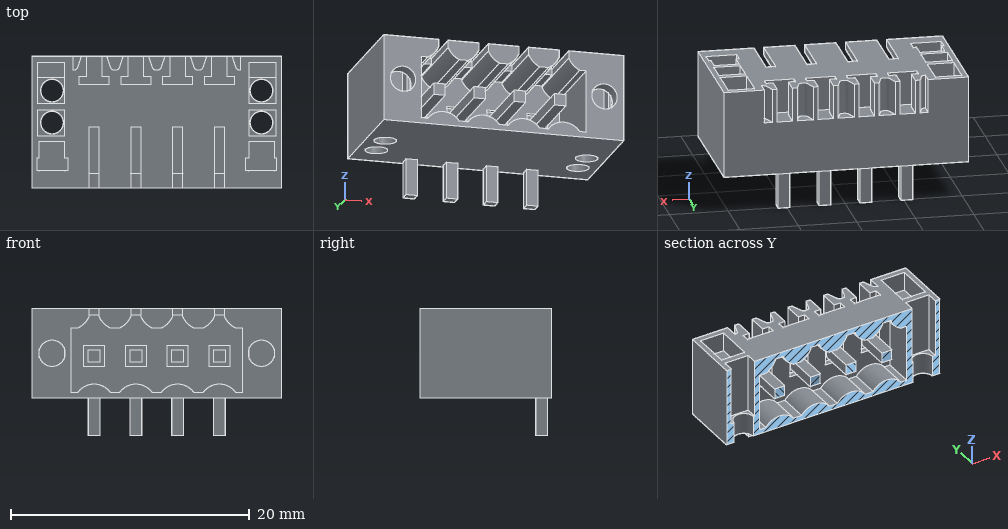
import cadquery as cq


contact_count = 4
pitch = 3.5
contact_x = [(i - (contact_count - 1) / 2) * pitch for i in range(contact_count)]

length = 20.9
depth = 11.05
height = 7.5

cavity_width = 14.35
cavity_depth = 8.2
cavity_floor = 0.47
cavity_ceiling = 5.86
lobe_width = 2.73

ridge_rise = 0.7

groove_top_width = 0.82
groove_top = 6.96
groove_side_end = 6.85
groove_bulge = 0.09
slot_length = 5.1

pin_size = 1.0
pin_axis_z = 3.53
pin_tip_y = 1.23
pin_back_gap = 0.35
pin_leg_drop = 3.15
pin_recess_size = 1.77
pin_recess_depth = 0.5

rear_floor = 4.6
t_stem_width = 1.3
t_stem_depth = 1.7
t_bar_width = 2.52
t_depth = 2.38
notch_mouth = 1.38
notch_root = 0.6
notch_depth = 1.17
notch_radius = 0.35

flange_x = length / 2 - 1.68
screw_hole_diameter = 2.2
screw_hole_z = height / 2
pocket_width = 2.26
pocket_x = length / 2 - 0.47 - pocket_width / 2
pocket_floor = 2.0
rear_pocket_y = (7.1, 10.51)
rear_shelf_width = 1.24
rear_shelf_z = 5.72
middle_pocket_y = (4.37, 6.54)
vertical_hole_diameter = 1.88
vertical_hole_y = (5.48, 8.16)
nut_stem_x = (7.72, 9.85)
nut_stem_y = (2.51, 3.91)
nut_head_x = (7.44, 10.05)
nut_head_y = (1.45, nut_stem_y[0])
screw_hole_depth = nut_head_y[1]


def box(x, y, z):
    """Box spanning the given (low, high) ranges."""
    return (
        cq.Workplane("XY")
        .box(x[1] - x[0], y[1] - y[0], z[1] - z[0], centered=False)
        .translate((x[0], y[0], z[0]))
    )


def span(center, size):
    return (center - size / 2, center + size / 2)


def extrude_back(profile, distance):
    """Extrude an XZ profile from the mating face toward +Y."""
    return profile.extrude(-distance)


def floor_ridge(x):
    half = lobe_width / 2
    profile = (
        cq.Workplane("XZ")
        .moveTo(x - half, cavity_floor)
        .threePointArc((x, cavity_floor + ridge_rise), (x + half, cavity_floor))
        .close()
    )
    return extrude_back(profile, cavity_depth)


def ceiling_groove(x):
    mouth = lobe_width / 2
    top = groove_top_width / 2
    bow_x = (mouth + top) / 2 - groove_bulge
    bow_z = (cavity_ceiling + groove_side_end) / 2 - groove_bulge
    profile = (
        cq.Workplane("XZ")
        .moveTo(x - mouth, cavity_ceiling)
        .threePointArc((x - bow_x, bow_z), (x - top, groove_side_end))
        .lineTo(x - top, groove_top)
        .lineTo(x + top, groove_top)
        .lineTo(x + top, groove_side_end)
        .threePointArc((x + bow_x, bow_z), (x + mouth, cavity_ceiling))
        .close()
    )
    slot = box(span(x, groove_top_width), (0, slot_length), (groove_side_end, height))
    return extrude_back(profile, cavity_depth).union(slot)


def mating_cavity():
    cavity = box(span(0, cavity_width), (0, cavity_depth), (cavity_floor, cavity_ceiling))
    for x in contact_x:
        cavity = cavity.cut(floor_ridge(x)).union(ceiling_groove(x))
        recess_y = (cavity_depth - pin_recess_depth, cavity_depth + pin_recess_depth)
        recess = box(span(x, pin_recess_size), recess_y, span(pin_axis_z, pin_recess_size))
        cavity = cavity.union(recess)
    return cavity


def t_slot(x):
    levels = (rear_floor, height)
    stem = box(span(x, t_stem_width), (depth - t_depth, depth), levels)
    bar = box(span(x, t_bar_width), (depth - t_depth, depth - t_stem_depth), levels)
    return stem.union(bar)


def rear_notch(x):
    mouth = notch_mouth / 2
    root = notch_root / 2
    notch = (
        cq.Workplane("XY", origin=(x, depth, rear_floor))
        .polyline([(-mouth, 0), (mouth, 0), (root, -notch_depth), (-root, -notch_depth)])
        .close()
        .extrude(height - rear_floor)
    )
    return notch.edges("|Z and <Y").fillet(notch_radius)


def rear_notches():
    """Notches midway between contacts, with a half notch at each end of the row."""
    row_half = contact_count * pitch / 2
    row = box((-row_half, row_half), (0, depth), (0, height))
    notches = rear_notch(-row_half)
    for x in contact_x:
        notches = notches.union(rear_notch(x + pitch / 2))
    return notches.intersect(row)


def flange_cuts():
    """Screw hole, pockets and vertical holes of the +X end."""
    screw_hole = (
        cq.Workplane("XZ").center(flange_x, screw_hole_z).circle(screw_hole_diameter / 2)
    )
    cuts = extrude_back(screw_hole, screw_hole_depth)
    pocket_span = span(pocket_x, pocket_width)
    shelf_y = rear_pocket_y[1] - rear_shelf_width
    cuts = cuts.union(box(pocket_span, rear_pocket_y, (rear_shelf_z, height)))
    cuts = cuts.union(box(pocket_span, (rear_pocket_y[0], shelf_y), (pocket_floor, height)))
    cuts = cuts.union(box(pocket_span, middle_pocket_y, (pocket_floor, height)))
    cuts = cuts.union(box(nut_stem_x, nut_stem_y, (pocket_floor, height)))
    cuts = cuts.union(box(nut_head_x, nut_head_y, (pocket_floor, height)))
    for y in vertical_hole_y:
        hole = cq.Workplane("XY").center(flange_x, y).circle(vertical_hole_diameter / 2)
        cuts = cuts.union(hole.extrude(height))
    return cuts


def contact_pin(x):
    """L-shaped square pin: a mating bar along Y and a solder leg pointing down."""
    leg_back = depth - pin_back_gap
    bar = box(span(x, pin_size), (pin_tip_y, leg_back), span(pin_axis_z, pin_size))
    leg_z = (-pin_leg_drop, pin_axis_z)
    leg = box(span(x, pin_size), (leg_back - pin_size, leg_back), leg_z)
    return bar.union(leg)


pins = [contact_pin(x) for x in contact_x]

housing = box(span(0, length), (0, depth), (0, height))
housing = housing.cut(mating_cavity()).cut(rear_notches())
housing = housing.cut(flange_cuts()).cut(flange_cuts().mirror("YZ"))
for x in contact_x:
    housing = housing.cut(t_slot(x))
for pin in pins:
    housing = housing.cut(pin)

result = cq.Compound.makeCompound([housing.val(), *[pin.val() for pin in pins]])